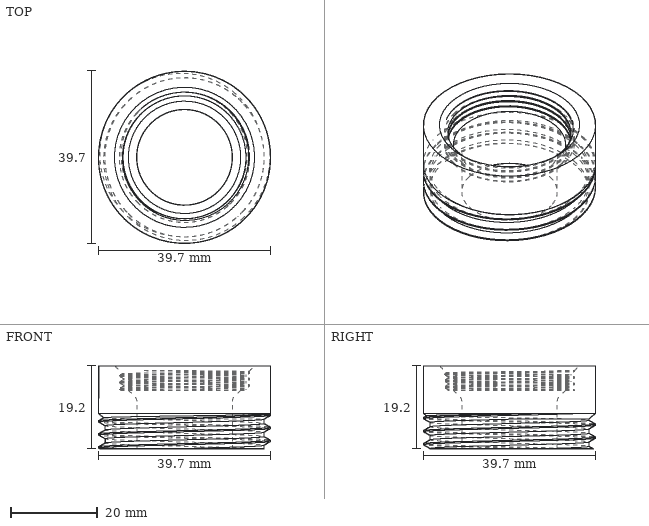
import cadquery as cq
import math

total_height = 19.15
outer_radius = 39.7 / 2
collar_height = 11.0
collar_bottom = total_height - collar_height

flank_slope = math.tan(math.radians(30))
bar_embed = 0.2
core_overrun = 5.0

root_radius = 36.7 / 2
ridge_pitch = 3.0
ridge_crest_width = 0.27
ridge_crest_z = 1.83
undercut_height = 1.25

socket_radius = 28.33 / 2
groove_radius = 30.05 / 2
groove_pitch = 1.5
groove_floor_width = 0.19
groove_z = 17.57
socket_depth = 5.65
shelf_z = total_height - socket_depth

mouth_radius = 16.15
mouth_depth = mouth_radius - socket_radius

bore_radius = 22.0 / 2
entry_radius = 12.95
entry_blend_radius = 1.5


def revolve_profile(profile):
    return profile.close().revolve(360, (0, 0, 0), (0, 1, 0))


def helical_bar(wide_radius, narrow_radius, narrow_width, pitch, centre_z, z_low, z_high):
    """Trapezoid swept along a helix that passes centre_z on the +X side and spans z_low to z_high."""
    narrow_half = narrow_width / 2
    wide_half = narrow_half + abs(narrow_radius - wide_radius) * flank_slope
    start_z = centre_z - math.ceil((centre_z + wide_half - z_low) / pitch) * pitch
    turns = math.ceil((z_high + wide_half - start_z) / pitch)
    path = cq.Wire.makeHelix(pitch, turns * pitch, narrow_radius)
    bar = (
        cq.Workplane("XZ")
        .moveTo(wide_radius, -wide_half)
        .lineTo(narrow_radius, -narrow_half)
        .lineTo(narrow_radius, narrow_half)
        .lineTo(wide_radius, wide_half)
        .close()
        .sweep(cq.Workplane(path), isFrenet=True)
    )
    return bar.translate((0, 0, start_z))


def threaded_rod(core_radius, bar, z_low, z_high):
    """Cylinder joined to a helical bar around it, cut square at both heights."""
    core = (
        cq.Workplane("XY")
        .workplane(offset=z_low - core_overrun)
        .circle(core_radius)
        .extrude(z_high - z_low + 2 * core_overrun)
    )
    slab = (
        cq.Workplane("XY")
        .workplane(offset=z_low)
        .circle(2 * outer_radius)
        .extrude(z_high - z_low)
    )
    return core.union(bar).intersect(slab)


def make_threaded_stub():
    """Externally threaded lower length, from the bottom face to the collar."""
    ridge = helical_bar(
        root_radius - bar_embed, outer_radius, ridge_crest_width,
        ridge_pitch, ridge_crest_z, 0, collar_bottom,
    )
    return threaded_rod(root_radius, ridge, 0, collar_bottom)


def make_collar():
    """Plain collar with its conical underside, on a core that runs down to the bottom face."""
    return revolve_profile(
        cq.Workplane("XZ")
        .lineTo(root_radius, 0)
        .lineTo(root_radius, collar_bottom - undercut_height)
        .lineTo(outer_radius, collar_bottom)
        .lineTo(outer_radius, total_height)
        .lineTo(0, total_height)
    )


def make_cavity():
    """Socket with conical mouth, flat shelf, conical entry and through bore."""
    cone_angle = math.radians(45)
    blend_top_radius = bore_radius + entry_blend_radius * (1 - math.cos(cone_angle))
    blend_top_z = shelf_z - (entry_radius - blend_top_radius)
    blend_bottom_z = blend_top_z - entry_blend_radius * math.sin(cone_angle)
    blend_middle = (
        bore_radius + entry_blend_radius * (1 - math.cos(cone_angle / 2)),
        blend_bottom_z + entry_blend_radius * math.sin(cone_angle / 2),
    )
    return revolve_profile(
        cq.Workplane("XZ")
        .lineTo(bore_radius, 0)
        .lineTo(bore_radius, blend_bottom_z)
        .threePointArc(blend_middle, (blend_top_radius, blend_top_z))
        .lineTo(entry_radius, shelf_z)
        .lineTo(socket_radius, shelf_z)
        .lineTo(socket_radius, total_height - mouth_depth)
        .lineTo(mouth_radius, total_height)
        .lineTo(0, total_height)
    )


def make_socket_thread():
    """Space inside the threaded socket wall, from the shelf to where the groove runs out."""
    groove = helical_bar(
        socket_radius - bar_embed, groove_radius, groove_floor_width,
        groove_pitch, groove_z, shelf_z, total_height - mouth_depth,
    )
    return threaded_rod(socket_radius, groove, shelf_z, total_height)


result = (
    make_threaded_stub()
    .union(make_collar())
    .cut(make_cavity())
    .cut(make_socket_thread())
)